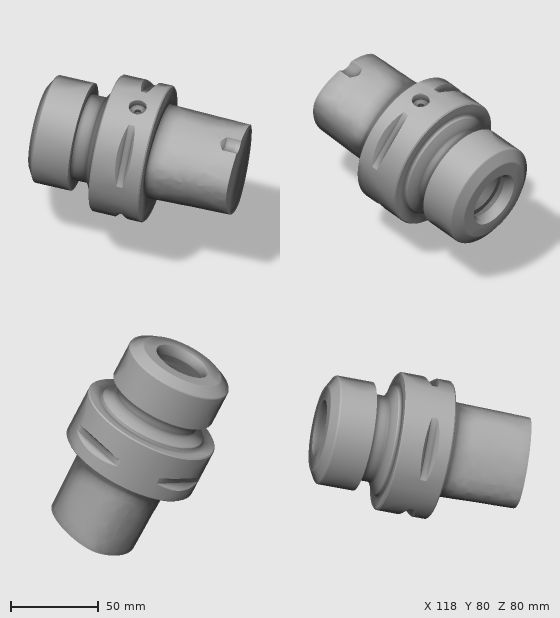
import cadquery as cq
import math

total_length = 118.0
nut_end = 25.5
neck_end = 34.2
shoulder_end = 38.6
collar_start = 40.1
collar_end = 70.1

nut_radius = 63.0 / 2
nose_radius = 49.3 / 2
neck_radius = 50.0 / 2
shoulder_radius = 31.7
collar_radius = 80.0 / 2
nose_chamfer_length = 4.1
collar_chamfer = 0.7
edge_round = 0.7
collar_fillet = 1.4
nose_round = 1.4
neck_fillet = 1.1

selection_margin = 0.1

mouth_radius = 16.4
throat_radius = 14.3
mouth_depth = 5.5
throat_length = 0.5
relief_radius = 17.7
relief_width = 5.0
bore_depth = 47.2

shank_base_radius = 27.5
shank_end_radius = 26.3
lobe_height = 2.0
shank_points = 72

groove_x = 57.9
groove_floor_distance = 35.6
groove_floor_width = 3.5
groove_flank_angle = 30.0
groove_count = 4
coding_hole_diameter = 10.0
coding_hole_depth = 5.0
coding_hole_chamfer = 0.2
pilot_diameter = 4.0
pilot_depth = 2.4
drill_point_angle = 118.0

notch_diameter = 11.8
notch_straight_length = 8.4
notch_tip_length = 5.0
notch_axis_height = 27.4


def revolve_about_x(profile):
    return profile.close().revolve(360, (0, 0, 0), (1, 0, 0))


def edge_at(x, radius):
    """Selector for the turned edge at the given station and radius."""
    reach = radius + selection_margin
    return cq.selectors.BoxSelector(
        (x - selection_margin, -reach, -reach),
        (x + selection_margin, reach, reach),
        boundingbox=True,
    )


def turned_body():
    """Nut, neck, conical shoulder and collar as one turned blank."""
    fillet_start = collar_start - collar_fillet
    fillet_middle = collar_fillet * (1 - math.sqrt(0.5))
    profile = (
        cq.Workplane("XY")
        .lineTo(0, nose_radius)
        .lineTo(nose_chamfer_length, nut_radius)
        .lineTo(nut_end, nut_radius)
        .lineTo(nut_end, neck_radius)
        .lineTo(neck_end, neck_radius)
        .lineTo(shoulder_end - edge_round, shoulder_radius - edge_round)
        .threePointArc(
            (shoulder_end - edge_round / 2, shoulder_radius - edge_round / 4),
            (shoulder_end, shoulder_radius),
        )
        .lineTo(fillet_start, shoulder_radius)
        .threePointArc(
            (collar_start - fillet_middle, shoulder_radius + fillet_middle),
            (collar_start, shoulder_radius + collar_fillet),
        )
        .lineTo(collar_start, collar_radius - collar_chamfer)
        .lineTo(collar_start + collar_chamfer, collar_radius)
        .lineTo(collar_end - collar_chamfer, collar_radius)
        .lineTo(collar_end, collar_radius - collar_chamfer)
        .lineTo(collar_end, 0)
    )
    body = revolve_about_x(profile)
    body = body.edges(edge_at(0, nose_radius)).fillet(nose_round)
    body = body.edges(edge_at(nose_chamfer_length, nut_radius)).fillet(nose_round)
    return body.edges(edge_at(neck_end, neck_radius)).fillet(neck_fillet)


def lobed_outline(mean_radius):
    """Constant-width three-lobed curve with one lobe pointing to -Z."""
    points = []
    for index in range(shank_points):
        angle = 2 * math.pi * index / shank_points
        reach = mean_radius + lobe_height * math.sin(3 * angle)
        slope = 3 * lobe_height * math.cos(3 * angle)
        y = reach * math.cos(angle) - slope * math.sin(angle)
        z = reach * math.sin(angle) + slope * math.cos(angle)
        points.append((y, z))
    return points


def shank():
    return (
        cq.Workplane("YZ", origin=(collar_end, 0, 0))
        .spline(lobed_outline(shank_base_radius), periodic=True)
        .close()
        .workplane(offset=total_length - collar_end)
        .spline(lobed_outline(shank_end_radius), periodic=True)
        .close()
        .loft(ruled=True)
    )


def collet_bore():
    """Tapered mouth, short throat, relief groove and blind bore."""
    relief_start = mouth_depth + throat_length
    relief_end = relief_start + relief_width
    profile = (
        cq.Workplane("XY")
        .lineTo(0, mouth_radius)
        .lineTo(mouth_depth, throat_radius)
        .lineTo(relief_start, throat_radius)
        .lineTo(relief_start, relief_radius)
        .lineTo(relief_end, relief_radius)
        .lineTo(relief_end, throat_radius)
        .lineTo(bore_depth, throat_radius)
        .lineTo(bore_depth, 0)
    )
    return revolve_about_x(profile)


def gripper_groove(angle):
    """V-flanked groove with a flat floor, cut as a chord across the collar."""
    depth = collar_radius - groove_floor_distance
    floor_half = groove_floor_width / 2
    top_half = floor_half + depth * math.tan(math.radians(groove_flank_angle))
    section = [
        (groove_x - floor_half, groove_floor_distance),
        (groove_x + floor_half, groove_floor_distance),
        (groove_x + top_half, collar_radius),
        (groove_x - top_half, collar_radius),
    ]
    groove = cq.Workplane("XZ").polyline(section).close().extrude(collar_radius, both=True)
    return groove.rotate((0, 0, 0), (1, 0, 0), angle)


def coding_hole():
    """Chamfered flat-bottomed hole with a drilled pilot, entering from +Z."""
    hole_radius = coding_hole_diameter / 2
    pilot_radius = pilot_diameter / 2
    floor_z = collar_radius - coding_hole_depth
    pilot_z = floor_z - pilot_depth
    tip_z = pilot_z - pilot_radius / math.tan(math.radians(drill_point_angle / 2))
    chamfer_radius = hole_radius + coding_hole_chamfer
    rim_z = math.sqrt(collar_radius**2 - hole_radius**2)
    section = [
        (0, tip_z),
        (pilot_radius, pilot_z),
        (pilot_radius, floor_z),
        (hole_radius, floor_z),
        (hole_radius, rim_z - coding_hole_chamfer),
        (chamfer_radius, rim_z),
        (chamfer_radius, collar_radius),
        (0, collar_radius),
    ]
    cutter = cq.Workplane("XZ").polyline(section).close().revolve(360, (0, 0, 0), (0, 1, 0))
    return cutter.translate((groove_x, 0, 0))


def key_notch():
    """Round-bottomed notch with a conical inner end, open at the rear face."""
    notch_radius = notch_diameter / 2
    notch_start = total_length - notch_straight_length
    profile = (
        cq.Workplane("XY")
        .moveTo(total_length, 0)
        .lineTo(total_length, notch_radius)
        .lineTo(notch_start, notch_radius)
        .lineTo(notch_start - notch_tip_length, 0)
    )
    return revolve_about_x(profile).translate((0, 0, notch_axis_height))


result = turned_body().union(shank()).cut(collet_bore()).cut(coding_hole()).cut(key_notch())
for groove_index in range(groove_count):
    groove_angle = (groove_index + 0.5) * 360 / groove_count
    result = result.cut(gripper_groove(groove_angle))